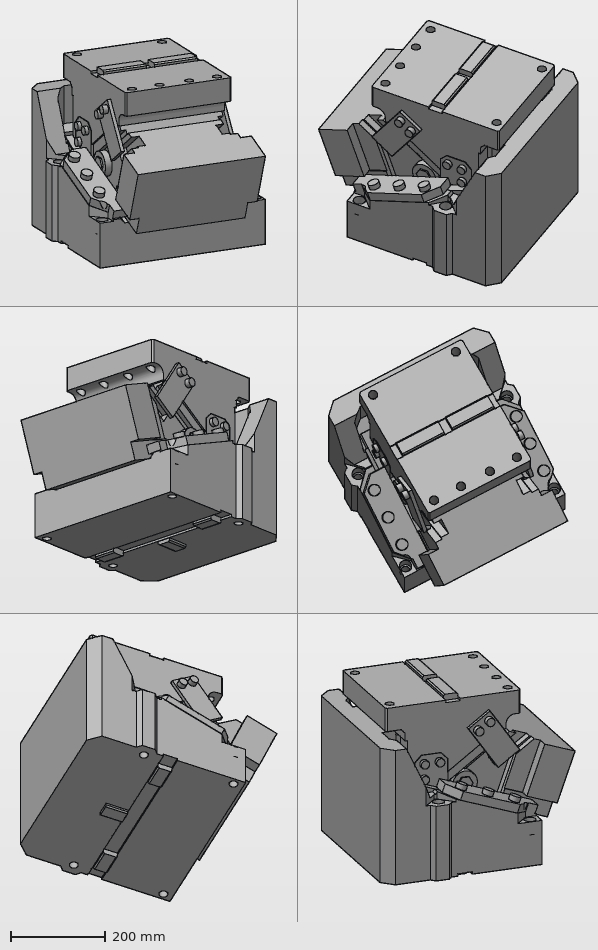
import cadquery as cq
import math

SLIDE_ANGLE = 20.0
RAMP_ANGLE = 35.0
SIDES = (-1, 1)

BASE_LENGTH = 360.5
BASE_HALF_WIDTH = 195.0
BASE_HEIGHT = 305.5
SLIDE_END_HEIGHT = 104.0
FLOOR_DEPTH = 10.0
PAD_FACE_X = 70.5

SLIDE_COS = math.cos(math.radians(SLIDE_ANGLE))
SLIDE_SIN = math.sin(math.radians(SLIDE_ANGLE))
RAMP_COS = math.cos(math.radians(RAMP_ANGLE))
RAMP_SIN = math.sin(math.radians(RAMP_ANGLE))

KEY_SLOT_START = 168.5
KEY_WIDTH = 32.5
KEY_SLOT_DEPTH = 5.5
KEY_RISE = 8.0
KEY_CHAMFER = 3.0
KEY_SLOT_RANGE = (KEY_SLOT_START, KEY_SLOT_START + KEY_WIDTH)


def slide_point(along, above):
    """X, Z of a point measured along and square to the slide plane."""
    return (BASE_LENGTH + along * SLIDE_COS + above * SLIDE_SIN,
            SLIDE_END_HEIGHT - along * SLIDE_SIN + above * SLIDE_COS)


def slide_height(x, above=0.0):
    """Z of the plane lying a given distance above the slide plane, at X."""
    return SLIDE_END_HEIGHT + (BASE_LENGTH - x) * SLIDE_SIN / SLIDE_COS + above / SLIDE_COS


def slide_workplane(along, above):
    """Workplane parallel to the slide plane, X down the slope and Y across."""
    x, z = slide_point(along, above)
    return cq.Workplane(cq.Plane(origin=(x, 0, z), xDir=(SLIDE_COS, 0, -SLIDE_SIN),
                                 normal=(SLIDE_SIN, 0, SLIDE_COS)))


SLIDER_END = 45.0
SLIDER_TOP = 150.0
RAMP_TIP_ALONG = -97.5
RAMP_TIP = slide_point(RAMP_TIP_ALONG, SLIDER_TOP)
LEG_FRONT_X = 172.0
RAMP_LAYER = 10.0


def ramp_point(along, above):
    """X, Z of a point measured from the ramp tip, along and square to the ramp."""
    return (RAMP_TIP[0] + along * RAMP_COS - above * RAMP_SIN,
            RAMP_TIP[1] + along * RAMP_SIN + above * RAMP_COS)


def ramp_height(x, above=0.0):
    """Z of the plane lying a given distance above the ramp, at X."""
    return RAMP_TIP[1] + (x - RAMP_TIP[0]) * RAMP_SIN / RAMP_COS + above / RAMP_COS


def side_prism(points, y_start, y_end):
    """Extrude an X-Z outline between two Y positions."""
    low = min(y_start, y_end)
    return (cq.Workplane("XZ", origin=(0, low, 0)).polyline(points).close()
            .extrude(-abs(y_end - y_start)))


def centred_prism(points, half_width):
    return side_prism(points, -half_width, half_width)


def side_pin(x, z, diameter, y_start, y_end):
    """Cylinder along Y between two Y positions."""
    low = min(y_start, y_end)
    return (cq.Workplane("XZ", origin=(x, low, z)).circle(diameter / 2)
            .extrude(-abs(y_end - y_start)))


def plan_prism(points, z_start, z_end):
    """Extrude an X-Y outline between two heights."""
    return cq.Workplane("XY", origin=(0, 0, z_start)).polyline(points).close().extrude(z_end - z_start)


def block(x_range, y_range, z_range):
    sizes = [end - start for start, end in (x_range, y_range, z_range)]
    corner = (x_range[0], y_range[0], z_range[0])
    return cq.Workplane("XY", origin=corner).box(*sizes, centered=False)


CORNER_CHAMFER = 25.0
WALL_TOP_X = 50.5
WALL_FOOT_X = 111.0
TROUGH_HEIGHT = 180.5
TROUGH_END_X = 129.5
SHELF_START_X = 133.5

POCKET_BACK_X = 38.5
POCKET_CORNER_X = 59.0
POCKET_HALF_WIDTH = 150.5
POCKET_BACK_HALF_WIDTH = 125.5
PILLAR_HALF_WIDTH = 84.0
PILLAR_CHAMFER = 3.5
GROOVE_START_X = 97.5
GROOVE_LEAD_START_X = 66.5
GROOVE_LEAD_HALF_WIDTH = 142.5
GROOVE_TOP_HALF_WIDTH = 146.5
GROOVE_FLOOR_HALF_WIDTH = 137.0

BOLT_Y = 180.5
FRONT_BOLT_X = 129.5
REAR_BOLT_X = 339.0
BOLT_HOLE_DIAMETER = 18.5
BOLT_RECESS_DIAMETER = 26.0
BOLT_RECESS_DEPTH = 30.0
FRONT_SEAT_HEIGHT = 170.0
REAR_SEAT_HEIGHT = 100.5
FRONT_SEAT_HALF_LENGTH = 34.0
SEAT_INNER_Y = 164.0
REAR_SEAT_START_X = 305.0
REAR_SEAT_CORNER_X = 334.5

EAR_HALF_LENGTH = 24.0
EAR_HALF_TIP = 15.0
EAR_SPAN = 410.0
EAR_PROJECTION = EAR_SPAN / 2 - BASE_HALF_WIDTH

PLATE_OUTER_Y = 194.0
PLATE_LENGTH = 225.3
PLATE_END = -4.0
PLATE_THICKNESS = 20.0
PLATE_INNER_Y = 128.5
PLATE_CHAMFER = 31.5
PLATE_NOTCH_LENGTH = 22.5
PLATE_NOTCH_TAPER = 32.5
PLATE_BOLT_COUNT = 3
PLATE_BOLT_Y = 172.0
PLATE_BOLT_PITCH = 65.0
PLATE_BOLT_LAST = -61.8
PLATE_BOLT_DIAMETER = 24.5
PLATE_BOLT_HEIGHT = 12.0

BOTTOM_KEY_INNER_Y = 114.5
BOTTOM_KEY_LENGTH = 51.5
CROSS_KEY_START_X = 116.0


def base_block():
    profile = [
        (0, 0), (BASE_LENGTH, 0), (BASE_LENGTH, SLIDE_END_HEIGHT),
        (SHELF_START_X, slide_height(SHELF_START_X)), (TROUGH_END_X, TROUGH_HEIGHT),
        (WALL_FOOT_X, TROUGH_HEIGHT), (WALL_TOP_X, BASE_HEIGHT), (0, BASE_HEIGHT),
    ]
    return centred_prism(profile, BASE_HALF_WIDTH).edges("|Z and <X").chamfer(CORNER_CHAMFER)


def slider_pocket():
    """Clearance behind the wall, opened down to the slide plane."""
    plan = [
        (POCKET_BACK_X, -POCKET_BACK_HALF_WIDTH), (POCKET_CORNER_X, -POCKET_HALF_WIDTH),
        (BASE_LENGTH, -POCKET_HALF_WIDTH), (BASE_LENGTH, POCKET_HALF_WIDTH),
        (POCKET_CORNER_X, POCKET_HALF_WIDTH), (POCKET_BACK_X, POCKET_BACK_HALF_WIDTH),
    ]
    below_slide = [
        (0, 0), (BASE_LENGTH, 0), (BASE_LENGTH, SLIDE_END_HEIGHT), (0, slide_height(0)),
    ]
    return plan_prism(plan, 0, BASE_HEIGHT).cut(centred_prism(below_slide, BASE_HALF_WIDTH))


def centre_pillar():
    profile = [
        (POCKET_BACK_X, 0), (PAD_FACE_X, 0), (PAD_FACE_X, BASE_HEIGHT - PILLAR_CHAMFER),
        (PAD_FACE_X - PILLAR_CHAMFER, BASE_HEIGHT), (POCKET_BACK_X, BASE_HEIGHT),
    ]
    return centred_prism(profile, PILLAR_HALF_WIDTH)


def pocket_floor():
    """Carries the slide plane across the trough, between the side walls."""
    profile = [
        (POCKET_CORNER_X, 0), (SHELF_START_X, 0), (SHELF_START_X, slide_height(SHELF_START_X)),
        (POCKET_CORNER_X, slide_height(POCKET_CORNER_X)),
    ]
    return centred_prism(profile, GROOVE_TOP_HALF_WIDTH)


def slide_groove(start, half_width):
    """Tapered groove that runs along the slide plane out of the +X end."""
    length = (BASE_LENGTH - start) / SLIDE_COS
    start_x, start_z = slide_point(-length, 0)
    section = [
        (-half_width, 0), (-GROOVE_FLOOR_HALF_WIDTH, -FLOOR_DEPTH),
        (GROOVE_FLOOR_HALF_WIDTH, -FLOOR_DEPTH), (half_width, 0),
    ]
    across = cq.Plane(origin=(start_x, 0, start_z), xDir=(0, 1, 0), normal=(SLIDE_COS, 0, -SLIDE_SIN))
    return cq.Workplane(across).polyline(section).close().extrude(length + FLOOR_DEPTH)


def mounting_ear(side):
    outer_y = side * (BASE_HALF_WIDTH + EAR_PROJECTION)
    root_y = side * (BASE_HALF_WIDTH - EAR_PROJECTION)
    face_y = side * BASE_HALF_WIDTH
    plan = [
        (FRONT_BOLT_X - EAR_HALF_LENGTH, root_y), (FRONT_BOLT_X - EAR_HALF_LENGTH, face_y),
        (FRONT_BOLT_X - EAR_HALF_TIP, outer_y), (FRONT_BOLT_X + EAR_HALF_TIP, outer_y),
        (FRONT_BOLT_X + EAR_HALF_LENGTH, face_y), (FRONT_BOLT_X + EAR_HALF_LENGTH, root_y),
    ]
    return plan_prism(plan, 0, FRONT_SEAT_HEIGHT)


def front_bolt_seat(side):
    inset = FRONT_SEAT_HALF_LENGTH - (BASE_HALF_WIDTH - SEAT_INNER_Y)
    plan = [
        (FRONT_BOLT_X - FRONT_SEAT_HALF_LENGTH, side * BASE_HALF_WIDTH),
        (FRONT_BOLT_X - inset, side * SEAT_INNER_Y), (FRONT_BOLT_X + inset, side * SEAT_INNER_Y),
        (FRONT_BOLT_X + FRONT_SEAT_HALF_LENGTH, side * BASE_HALF_WIDTH),
    ]
    return plan_prism(plan, FRONT_SEAT_HEIGHT, BASE_HEIGHT)


def rear_bolt_seat(side):
    plan = [
        (REAR_SEAT_START_X, side * BASE_HALF_WIDTH), (REAR_SEAT_CORNER_X, side * SEAT_INNER_Y),
        (BASE_LENGTH, side * SEAT_INNER_Y), (BASE_LENGTH, side * BASE_HALF_WIDTH),
    ]
    return plan_prism(plan, REAR_SEAT_HEIGHT, BASE_HEIGHT)


def bolt_hole(x, side, seat_height):
    """Through hole with a round recess that clears everything above the seat."""
    centre = (x, side * BOLT_Y)
    shank = cq.Workplane("XY").center(*centre).circle(BOLT_HOLE_DIAMETER / 2).extrude(seat_height)
    recess_floor = seat_height - BOLT_RECESS_DEPTH
    recess = (cq.Workplane("XY", origin=(0, 0, recess_floor)).center(*centre)
              .circle(BOLT_RECESS_DIAMETER / 2).extrude(BASE_HEIGHT - recess_floor))
    return shank.union(recess)


def retaining_plate(side):
    """Plate with three bolt heads, lying on the slide plane."""
    on_slide = slide_workplane(PLATE_END, 0)
    outer_y = side * PLATE_OUTER_Y
    notch_y = side * SEAT_INNER_Y
    chamfer_y = side * (PLATE_OUTER_Y - PLATE_CHAMFER)
    plan = [
        (0, side * PLATE_INNER_Y), (0, notch_y), (-PLATE_NOTCH_LENGTH, notch_y),
        (-PLATE_NOTCH_LENGTH - PLATE_NOTCH_TAPER, outer_y), (PLATE_CHAMFER - PLATE_LENGTH, outer_y),
        (-PLATE_LENGTH, chamfer_y), (-PLATE_LENGTH, side * PLATE_INNER_Y),
    ]
    plate = on_slide.polyline(plan).close().extrude(PLATE_THICKNESS)
    bolts = [(PLATE_BOLT_LAST - i * PLATE_BOLT_PITCH, side * PLATE_BOLT_Y) for i in range(PLATE_BOLT_COUNT)]
    heads = (on_slide.pushPoints(bolts).circle(PLATE_BOLT_DIAMETER / 2)
             .extrude(PLATE_THICKNESS + PLATE_BOLT_HEIGHT))
    return plate.union(heads)


def bottom_key_slot():
    return block(KEY_SLOT_RANGE, (-BASE_HALF_WIDTH, BASE_HALF_WIDTH), (0, KEY_SLOT_DEPTH))


def bottom_keys():
    """Two keys in the bottom slot and one square to them on the centre line."""
    height = (-KEY_RISE, KEY_SLOT_DEPTH)
    outer_y = BOTTOM_KEY_INNER_Y + BOTTOM_KEY_LENGTH
    keys = []
    for y_range in ((-outer_y, -BOTTOM_KEY_INNER_Y), (BOTTOM_KEY_INNER_Y, outer_y)):
        keys.append(block(KEY_SLOT_RANGE, y_range, height).edges("<Z and |Y").chamfer(KEY_CHAMFER))
    cross_x = (CROSS_KEY_START_X, CROSS_KEY_START_X + BOTTOM_KEY_LENGTH)
    cross_y = (-KEY_WIDTH / 2, KEY_WIDTH / 2)
    keys.append(block(cross_x, cross_y, height).edges("<Z and |X").chamfer(KEY_CHAMFER))
    return keys


def make_base():
    base = base_block().cut(slider_pocket()).union(centre_pillar()).union(pocket_floor())
    base = base.cut(slide_groove(GROOVE_START_X, GROOVE_TOP_HALF_WIDTH))
    base = base.cut(slide_groove(GROOVE_LEAD_START_X, GROOVE_LEAD_HALF_WIDTH))
    for side in SIDES:
        base = base.cut(front_bolt_seat(side)).cut(rear_bolt_seat(side)).union(mounting_ear(side))
        base = base.union(retaining_plate(side))
    for side in SIDES:
        base = base.cut(bolt_hole(REAR_BOLT_X, side, REAR_SEAT_HEIGHT))
        base = base.cut(bolt_hole(FRONT_BOLT_X, side, FRONT_SEAT_HEIGHT))
    base = base.cut(bottom_key_slot())
    for key in bottom_keys():
        base = base.union(key)
    return base


NECK_HALF_WIDTH = 109.0
STEP_HALF_WIDTH = 115.0
BODY_HALF_WIDTH = 125.0
HEAD_HALF_WIDTH = 150.5
FOOT_HALF_WIDTH = 128.0
HEAD_BACK = -29.0
HEAD_BOTTOM = 30.0
BODY_STEP_START = -78.5
BODY_STEP_END = -73.0
LEDGE_DEPTH = 43.5
GROOVE_BOTTOM = 40.0
GROOVE_TOP = 12.5
HOOK_GROOVE_INNER_Y = 91.0
HOOK_START = -68.0
HOOK_END = -8.0
TRIM_REACH = 136.3

PIVOT_ALONG = -144.5
PIVOT_DIAMETER = 56.5
PIVOT_FACE_Y = 125.0
HEX_SIDES = 6
PIVOT_HEX_DIAMETER = 34.5
PIVOT_HEX_FACE_Y = 128.5


def slider_neck():
    """Full-length core with the driving ramp on its upper face."""
    profile = [
        slide_point(SLIDER_END, -FLOOR_DEPTH), slide_point(SLIDER_END, SLIDER_TOP), RAMP_TIP,
        (LEG_FRONT_X, ramp_height(LEG_FRONT_X)),
        (LEG_FRONT_X, slide_height(LEG_FRONT_X, -FLOOR_DEPTH)),
    ]
    return centred_prism(profile, NECK_HALF_WIDTH)


def slider_body():
    """Wider rear part with a bevelled step, trimmed by the shoulder."""
    plan = [
        (SLIDER_END, -BODY_HALF_WIDTH), (SLIDER_END, BODY_HALF_WIDTH),
        (BODY_STEP_END, BODY_HALF_WIDTH), (BODY_STEP_END, STEP_HALF_WIDTH),
        (BODY_STEP_START, NECK_HALF_WIDTH), (BODY_STEP_START, -NECK_HALF_WIDTH),
        (BODY_STEP_END, -STEP_HALF_WIDTH), (BODY_STEP_END, -BODY_HALF_WIDTH),
    ]
    body = slide_workplane(0, -FLOOR_DEPTH).polyline(plan).close().extrude(SLIDER_TOP + FLOOR_DEPTH)
    above_ledge = [
        ramp_point(-TRIM_REACH, -LEDGE_DEPTH), ramp_point(TRIM_REACH, -LEDGE_DEPTH),
        ramp_point(TRIM_REACH, TRIM_REACH), ramp_point(-TRIM_REACH, TRIM_REACH),
    ]
    return body.cut(centred_prism(above_ledge, BODY_HALF_WIDTH))


def slider_foot():
    """Slightly wider slab between the retaining plates."""
    profile = [
        slide_point(BODY_STEP_END, -FLOOR_DEPTH), slide_point(SLIDER_END, -FLOOR_DEPTH),
        slide_point(SLIDER_END, HEAD_BOTTOM), slide_point(BODY_STEP_END, HEAD_BOTTOM),
    ]
    return centred_prism(profile, FOOT_HALF_WIDTH)


def slider_head():
    profile = [
        slide_point(HEAD_BACK, HEAD_BOTTOM), slide_point(SLIDER_END, HEAD_BOTTOM),
        slide_point(SLIDER_END, SLIDER_TOP), slide_point(HEAD_BACK, SLIDER_TOP),
    ]
    return centred_prism(profile, HEAD_HALF_WIDTH)


def hook_groove(side):
    """Groove under the ramp tongue, open at the slider top."""
    profile = [
        ramp_point(HOOK_START, -GROOVE_TOP), ramp_point(HOOK_START, -GROOVE_BOTTOM),
        ramp_point(TRIM_REACH, -GROOVE_BOTTOM), ramp_point(TRIM_REACH, -GROOVE_TOP),
    ]
    return side_prism(profile, side * HOOK_GROOVE_INNER_Y, side * STEP_HALF_WIDTH)


def pivot_boss(side):
    """Round boss with a hexagonal head."""
    pivot_x, pivot_z = ramp_point(PIVOT_ALONG, RAMP_LAYER - PIVOT_DIAMETER / 2)
    boss = side_pin(pivot_x, pivot_z, PIVOT_DIAMETER, side * NECK_HALF_WIDTH, side * PIVOT_FACE_Y)
    reach = side * (PIVOT_HEX_FACE_Y - NECK_HALF_WIDTH)
    head = (cq.Workplane("XZ", origin=(pivot_x, side * NECK_HALF_WIDTH, pivot_z))
            .polygon(HEX_SIDES, PIVOT_HEX_DIAMETER).extrude(-reach))
    return boss.union(head)


def make_slider():
    slider = slider_neck()
    for side in SIDES:
        slider = slider.cut(hook_groove(side))
        slider = slider.union(pivot_boss(side))
    return slider.union(slider_body()).union(slider_foot()).union(slider_head())


PUNCH_HALF_WIDTH = 125.0
PUNCH_TOP = 375.5
PUNCH_START_X = 31.0
PUNCH_END_X = 339.5
FLANGE_BOTTOM = 323.0
FLANGE_CHAMFER = 3.5
LEG_BACK_X = 75.5
LEG_BEVEL_RUN = 9.0
LEG_BEVEL_DROP = 10.0
SHOULDER_X = 306.0
SHOULDER_RADIUS = 20.0
SHOULDER_BOTTOM = 292.0
RAMP_CLEARANCE = 31.0
WEAR_HALF_WIDTH = 120.5
PAD_TOP = 295.5
PAD_FLOOR_X = 80.5

HOOK_BOTTOM = 36.5
HOOK_TOP = 82.0
HOOK_FACE_Y = 133.0
HOOK_BOLT_FACE_Y = 145.5
HOOK_BOLT_ABOVE = 66.0
HOOK_BOLTS_ALONG = (-23.0, -54.0)
SIDE_BOLT_DIAMETER = 19.0

GUIDE_START_X = 96.7
GUIDE_TOP = 258.5
GUIDE_CHAMFER = 15.5
GUIDE_FACE_Y = 126.3
GUIDE_BOLT_FACE_Y = 135.0
GUIDE_BOLTS = ((117.5, 239.0), (152.5, 239.0), (117.5, 204.0))

TOP_HOLE_DIAMETER = 19.0
TOP_HOLE_Y = 100.5
TOP_INNER_HOLE_Y = 35.0
TOP_HOLE_BACK_X = 49.5
TOP_HOLE_FRONT_X = 319.5
TOP_KEY_INNER_Y = 9.5
TOP_KEY_OUTER_Y = 111.0


def punch_block():
    """Flanged upper block with a leg that stops at the slide plane."""
    shoulder_rise = SHOULDER_BOTTOM - ramp_height(LEG_FRONT_X, RAMP_CLEARANCE)
    shoulder_x = LEG_FRONT_X + shoulder_rise * RAMP_COS / RAMP_SIN
    arc_offset = SHOULDER_RADIUS * (1 - math.sqrt(0.5))
    profile = (
        cq.Workplane("XZ", origin=(0, -PUNCH_HALF_WIDTH, 0))
        .moveTo(PUNCH_START_X, PUNCH_TOP).lineTo(PUNCH_END_X, PUNCH_TOP)
        .lineTo(PUNCH_END_X, FLANGE_BOTTOM).lineTo(SHOULDER_X + SHOULDER_RADIUS, FLANGE_BOTTOM)
        .threePointArc((SHOULDER_X + arc_offset, FLANGE_BOTTOM - arc_offset),
                       (SHOULDER_X, FLANGE_BOTTOM - SHOULDER_RADIUS))
        .lineTo(SHOULDER_X, SHOULDER_BOTTOM).lineTo(shoulder_x, SHOULDER_BOTTOM)
        .lineTo(LEG_FRONT_X, ramp_height(LEG_FRONT_X, RAMP_CLEARANCE))
        .lineTo(LEG_FRONT_X, slide_height(LEG_FRONT_X))
        .lineTo(PAD_FLOOR_X, slide_height(PAD_FLOOR_X))
        .lineTo(PAD_FLOOR_X, PAD_TOP).lineTo(LEG_BACK_X, PAD_TOP)
        .lineTo(LEG_BACK_X, FLANGE_BOTTOM - LEG_BEVEL_DROP)
        .lineTo(LEG_BACK_X - LEG_BEVEL_RUN, FLANGE_BOTTOM).lineTo(PUNCH_START_X, FLANGE_BOTTOM)
        .close()
    )
    body = profile.extrude(-2 * PUNCH_HALF_WIDTH)
    return body.edges("|Z and (<X or >X)").chamfer(FLANGE_CHAMFER)


def wear_pad():
    """Pad that runs on the pillar of the base."""
    return block((PAD_FACE_X, PAD_FLOOR_X), (-PILLAR_HALF_WIDTH, PILLAR_HALF_WIDTH),
                 (slide_height(PAD_FACE_X), PAD_TOP))


def wear_layer(low, high, half_width):
    """Layer between two heights above the ramp, from the leg to the hook plates."""
    profile = [
        (LEG_FRONT_X, ramp_height(LEG_FRONT_X, low)), ramp_point(HOOK_END, low),
        ramp_point(HOOK_END, high), (LEG_FRONT_X, ramp_height(LEG_FRONT_X, high)),
    ]
    return centred_prism(profile, half_width)


def ramp_wear_plate():
    """Stepped plate between the punch underside and the slider ramp."""
    lower = wear_layer(0, RAMP_LAYER, NECK_HALF_WIDTH)
    return lower.union(wear_layer(RAMP_LAYER, RAMP_CLEARANCE, WEAR_HALF_WIDTH))


def hook_plate(side):
    """Side plate laid square to the ramp, held by two bolts."""
    profile = [
        ramp_point(HOOK_START, -HOOK_BOTTOM), ramp_point(HOOK_END, -HOOK_BOTTOM),
        ramp_point(HOOK_END, HOOK_TOP), ramp_point(HOOK_START, HOOK_TOP),
    ]
    plate = side_prism(profile, side * PUNCH_HALF_WIDTH, side * HOOK_FACE_Y)
    for along in HOOK_BOLTS_ALONG:
        x, z = ramp_point(along, HOOK_BOLT_ABOVE)
        bolt = side_pin(x, z, SIDE_BOLT_DIAMETER, side * PUNCH_HALF_WIDTH, side * HOOK_BOLT_FACE_Y)
        plate = plate.union(bolt)
    return plate


def guide_plate(side):
    """Thin plate on the leg with chamfered top corners and three bolts."""
    profile = [
        (GUIDE_START_X, slide_height(GUIDE_START_X)), (LEG_FRONT_X, slide_height(LEG_FRONT_X)),
        (LEG_FRONT_X, GUIDE_TOP - GUIDE_CHAMFER), (LEG_FRONT_X - GUIDE_CHAMFER, GUIDE_TOP),
        (GUIDE_START_X + GUIDE_CHAMFER, GUIDE_TOP), (GUIDE_START_X, GUIDE_TOP - GUIDE_CHAMFER),
    ]
    plate = side_prism(profile, side * PUNCH_HALF_WIDTH, side * GUIDE_FACE_Y)
    for x, z in GUIDE_BOLTS:
        bolt = side_pin(x, z, SIDE_BOLT_DIAMETER, side * PUNCH_HALF_WIDTH, side * GUIDE_BOLT_FACE_Y)
        plate = plate.union(bolt)
    return plate


def top_holes():
    centres = []
    for side in SIDES:
        centres.append((TOP_HOLE_BACK_X, side * TOP_HOLE_Y))
        centres.append((TOP_HOLE_FRONT_X, side * TOP_HOLE_Y))
        centres.append((TOP_HOLE_FRONT_X, side * TOP_INNER_HOLE_Y))
    return (cq.Workplane("XY", origin=(0, 0, PUNCH_TOP)).pushPoints(centres)
            .circle(TOP_HOLE_DIAMETER / 2).extrude(SHOULDER_BOTTOM - PUNCH_TOP))


def top_key_slot():
    height = (PUNCH_TOP - KEY_SLOT_DEPTH, PUNCH_TOP)
    return block(KEY_SLOT_RANGE, (-PUNCH_HALF_WIDTH, PUNCH_HALF_WIDTH), height)


def top_key(side):
    y_range = sorted((side * TOP_KEY_INNER_Y, side * TOP_KEY_OUTER_Y))
    key = block(KEY_SLOT_RANGE, y_range, (PUNCH_TOP - KEY_SLOT_DEPTH, PUNCH_TOP + KEY_RISE))
    return key.edges(">Z and |Y").chamfer(KEY_CHAMFER)


def make_punch():
    punch = punch_block().union(wear_pad()).union(ramp_wear_plate())
    punch = punch.cut(top_holes()).cut(top_key_slot())
    for side in SIDES:
        punch = punch.union(hook_plate(side)).union(guide_plate(side)).union(top_key(side))
    return punch


base = make_base()
slider = make_slider()
punch = make_punch()

result = cq.Compound.makeCompound([base.val(), slider.val(), punch.val()])